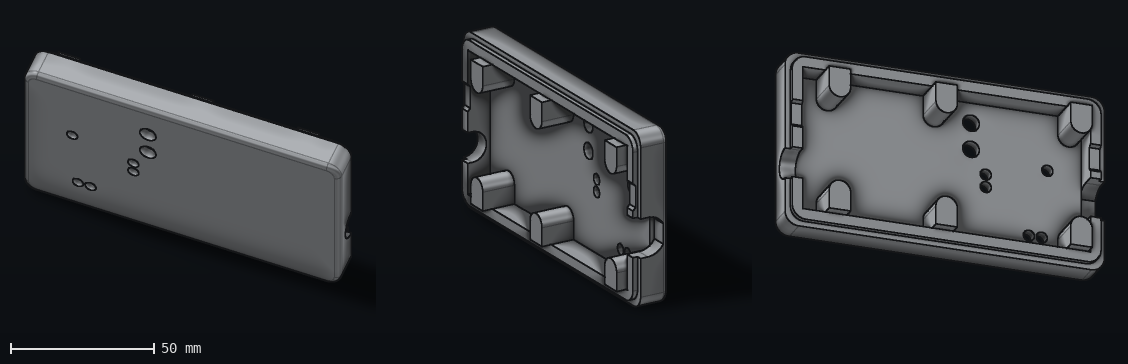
import cadquery as cq


length = 119.0
height = 66.0
rim_depth = 11.3
corner_radius = 5.0
front_fillet = 2.0
panel_thickness = 4.0
wall_thickness = 6.0

lip_inset = 2.0
lip_depth = 1.9
lip_end = rim_depth + lip_depth

total_depth = 17.0
post_width = 8.0
post_flat_z = height / 2 - wall_thickness
post_tip_z = 16.0
post_x_positions = (-48.8, 1.4, 41.2)

left_opening_radius = 7.4
left_opening_y = 8.3
left_opening_z = -6.2
right_opening_radius = 5.7
right_opening_y = rim_depth
right_opening_z = -9.8

relief_z = 9.0
relief_depth = 1.1
relief_floor_width = 8.1

button_hole_diameter = 6.1
button_holes = ((-12.5, 19.5), (-12.5, 9.5))
lamp_hole_diameter = 4.0
lamp_pitch = 4.8
upper_lamp_x, upper_lamp_z = -18.0, 0.7
lower_lamp_x, lower_lamp_z = -38.8, -20.1
lamp_holes = (
    (-40.9, 5.7),
    (upper_lamp_x, upper_lamp_z),
    (upper_lamp_x, upper_lamp_z - lamp_pitch),
    (lower_lamp_x, lower_lamp_z),
    (lower_lamp_x + lamp_pitch, lower_lamp_z),
)


def plane_at(y):
    """Sketch plane at depth y with local axes X and Z; extruding by -d reaches y + d."""
    return cq.Workplane("XZ", origin=(0, y, 0))


def block(inset, y_start, y_end):
    """Square-cornered block along Y, inset from the case outline."""
    outline = plane_at(y_start).rect(length - 2 * inset, height - 2 * inset)
    return outline.extrude(y_start - y_end)


def make_shell():
    body = block(0, 0, rim_depth).edges("|Y").fillet(corner_radius)
    body = body.faces("<Y").edges().fillet(front_fillet)
    lip = block(lip_inset, panel_thickness, lip_end).edges("|Y").fillet(corner_radius)
    cavity = block(wall_thickness, panel_thickness, lip_end)
    return body.union(lip).cut(cavity)


def make_post(x, side):
    """Post rooted in the panel, its flat end on the long wall and its round end toward the middle."""
    half_width = post_width / 2
    flat_z = side * post_flat_z
    tip_z = side * post_tip_z
    arc_start_z = side * (post_tip_z + half_width)
    root_y = panel_thickness / 2
    return (
        plane_at(root_y)
        .moveTo(x - half_width, flat_z)
        .lineTo(x - half_width, arc_start_z)
        .threePointArc((x, tip_z), (x + half_width, arc_start_z))
        .lineTo(x + half_width, flat_z)
        .close()
        .extrude(root_y - total_depth)
    )


def make_opening(x_start, radius, y, z):
    """U-shaped cutter for one end wall, open toward +Y and kept clear of the front fillet."""
    cutter = (
        cq.Workplane("YZ", origin=(x_start, 0, 0))
        .moveTo(lip_end, z - radius)
        .lineTo(y, z - radius)
        .threePointArc((y - radius, z), (y, z + radius))
        .lineTo(lip_end, z + radius)
        .close()
        .extrude(wall_thickness)
    )
    keep = plane_at(front_fillet).rect(length, height).extrude(front_fillet - lip_end)
    return cutter.intersect(keep)


def make_lip_relief():
    """Trapezoidal cutter with 45 degree sides, crossing both end lips."""
    floor_half = relief_floor_width / 2
    top_half = floor_half + relief_depth
    floor_y = lip_end - relief_depth
    return (
        cq.Workplane("YZ", origin=(-length / 2, 0, 0))
        .polyline([
            (floor_y, relief_z - floor_half),
            (floor_y, relief_z + floor_half),
            (lip_end, relief_z + top_half),
            (lip_end, relief_z - top_half),
        ])
        .close()
        .extrude(length)
    )


def make_panel_holes(centres, diameter):
    return plane_at(0).pushPoints(centres).circle(diameter / 2).extrude(-panel_thickness)


left_opening = make_opening(-length / 2, left_opening_radius, left_opening_y, left_opening_z)
right_opening = make_opening(
    length / 2 - wall_thickness, right_opening_radius, right_opening_y, right_opening_z
)

result = make_shell().cut(left_opening).cut(right_opening).cut(make_lip_relief())
for post_x in post_x_positions:
    for row_side in (1, -1):
        result = result.union(make_post(post_x, row_side))
result = result.cut(make_panel_holes(button_holes, button_hole_diameter))
result = result.cut(make_panel_holes(lamp_holes, lamp_hole_diameter))